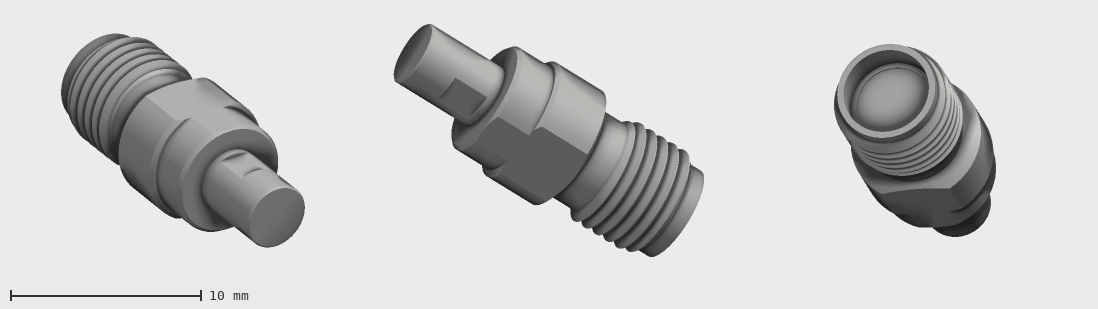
import cadquery as cq

TOTAL_LENGTH = 17.0

NECK_RADIUS = 2.64
BORE_RADIUS = 2.3
BORE_DEPTH = 1.94
THREAD_START = 0.78
THREAD_END = 4.98
THREAD_RADIUS = 3.102
THREAD_PITCH = 0.705
THREAD_ROOT_WIDTH = 0.66
THREAD_CREST_WIDTH = 0.05
THREAD_CREST_X = 1.48
THREAD_SINK = 0.02
THREAD_TURNS = 8

COLLAR_START = 6.48
COLLAR_END = 10.15
COLLAR_RADIUS = 3.5
COLLAR_FRONT_CHAMFER = 0.51
SHOULDER_END = 12.36
SHOULDER_RADIUS = 3.15
REAR_CHAMFER = 0.2
WRENCH_FLAT_HEIGHT = 3.0

INSULATOR_RADIUS = 2.04
INSULATOR_RECESS = 0.08
INSULATOR_START = BORE_DEPTH + INSULATOR_RECESS
INSULATOR_END = COLLAR_START

TAIL_RADIUS = 1.78
TAIL_CHAMFER = 0.08
TAIL_FLAT_START = 12.8
TAIL_FLAT_END = 14.88
TAIL_FLAT_HEIGHT = 1.56


def revolve_profile(points):
    """Solid of revolution about X from (x, radius) points."""
    return cq.Workplane("XY").polyline(points).close().revolve(360, (0, 0, 0), (1, 0, 0))


def rod(start, end, radius):
    """Cylinder along X."""
    return cq.Workplane("YZ", origin=(start, 0, 0)).circle(radius).extrude(end - start)


def cut_flats(body, start, end, height):
    """Trim the body to parallel flats at Z = +height and Z = -height between two X places."""
    clearance = 2 * COLLAR_RADIUS
    for side in (1, -1):
        cutter = cq.Workplane("XY").box(end - start, clearance, clearance).translate(
            ((start + end) / 2, 0, side * (height + clearance / 2))
        )
        body = body.cut(cutter)
    return body


def make_thread():
    """Right-hand V ridge with 45 degree runouts at both ends."""
    base_radius = NECK_RADIUS - THREAD_SINK
    flank_run = (THREAD_ROOT_WIDTH - THREAD_CREST_WIDTH) / 2
    flank_slope = flank_run / (THREAD_RADIUS - NECK_RADIUS)
    half_base = THREAD_ROOT_WIDTH / 2 + THREAD_SINK * flank_slope
    half_crest = THREAD_CREST_WIDTH / 2
    helix_start = THREAD_CREST_X - 2 * THREAD_PITCH

    helix = cq.Wire.makeHelix(THREAD_PITCH, THREAD_TURNS * THREAD_PITCH, base_radius)
    ridge = (
        cq.Workplane("XZ")
        .polyline([
            (base_radius, -half_base),
            (THREAD_RADIUS, -half_crest),
            (THREAD_RADIUS, half_crest),
            (base_radius, half_base),
        ])
        .close()
        .sweep(cq.Workplane(obj=helix), isFrenet=True)
        .rotate((0, 0, 0), (0, 0, 1), 180)
        .rotate((0, 0, 0), (0, 1, 0), 90)
        .translate((helix_start, 0, 0))
    )
    half_length = (THREAD_END - THREAD_START) / 2
    envelope = revolve_profile([
        (THREAD_START - NECK_RADIUS, 0),
        (THREAD_START + half_length, NECK_RADIUS + half_length),
        (THREAD_END + NECK_RADIUS, 0),
    ])
    return ridge.intersect(envelope)


def make_housing():
    """Neck, wrench collar and shoulder in one turned piece, with thread, flats and bore."""
    turned = revolve_profile([
        (0, 0),
        (0, NECK_RADIUS),
        (COLLAR_START, NECK_RADIUS),
        (COLLAR_START + COLLAR_FRONT_CHAMFER, COLLAR_RADIUS),
        (COLLAR_END - REAR_CHAMFER, COLLAR_RADIUS),
        (COLLAR_END, COLLAR_RADIUS - REAR_CHAMFER),
        (COLLAR_END, SHOULDER_RADIUS),
        (SHOULDER_END - REAR_CHAMFER, SHOULDER_RADIUS),
        (SHOULDER_END, SHOULDER_RADIUS - REAR_CHAMFER),
        (SHOULDER_END, 0),
    ])
    body = cut_flats(turned, COLLAR_START, SHOULDER_END, WRENCH_FLAT_HEIGHT)
    body = body.union(make_thread())
    body = body.cut(rod(0, BORE_DEPTH, BORE_RADIUS))
    return body.cut(rod(BORE_DEPTH, INSULATOR_END, INSULATOR_RADIUS))


def make_insulator():
    """Plain disc set slightly below the floor of the bore."""
    return rod(INSULATOR_START, INSULATOR_END, INSULATOR_RADIUS)


def make_tail():
    """Round tail butted against the shoulder, with two milled flats."""
    tail = rod(SHOULDER_END, TOTAL_LENGTH, TAIL_RADIUS).faces(">X").chamfer(TAIL_CHAMFER)
    return cut_flats(tail, TAIL_FLAT_START, TAIL_FLAT_END, TAIL_FLAT_HEIGHT)


housing = make_housing()
insulator = make_insulator()
tail = make_tail()

result = cq.Compound.makeCompound([body.solids().val() for body in (housing, insulator, tail)])